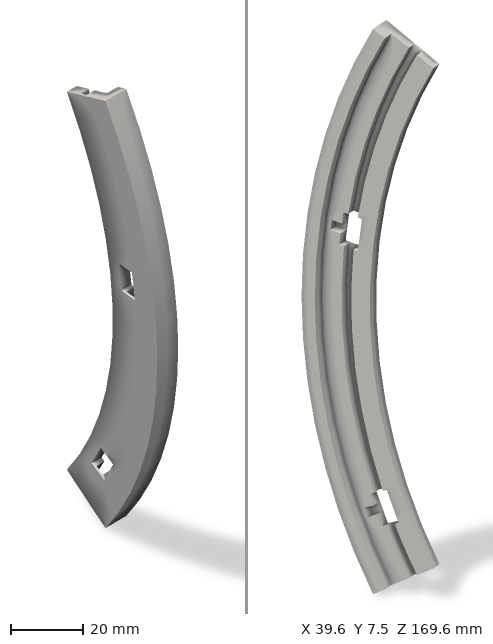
import cadquery as cq
import math

outer_radius = 169.6
strip_width = 19.5
half_angle = 30.0
total_depth = 7.5

plate_thickness = 3.5
rim_width = 4.2

groove_center_radius = 157.5
groove_width = 3.0
groove_floor = 0.7
branch_end_radius = 163.8

window_radial = 6.0
window_length = 10.0
window_angles = (7.5, -22.5)

inner_radius = outer_radius - strip_width
rim_inner_radius = outer_radius - rim_width


def arc_point(radius, angle):
    """Point in the XZ plane at an angle in degrees above the X axis."""
    return (radius * math.cos(math.radians(angle)), radius * math.sin(math.radians(angle)))


def arc_band(small_radius, large_radius, front_y, back_y):
    """Sector of a ring between two radii and two depths."""
    return (
        cq.Workplane("XZ", origin=(0, front_y, 0))
        .moveTo(*arc_point(small_radius, -half_angle))
        .lineTo(*arc_point(large_radius, -half_angle))
        .threePointArc((large_radius, 0), arc_point(large_radius, half_angle))
        .lineTo(*arc_point(small_radius, half_angle))
        .threePointArc((small_radius, 0), arc_point(small_radius, -half_angle))
        .close()
        .extrude(front_y - back_y)
    )


def window(angle):
    """Rectangular cutter through the plate, turned to follow the arc."""
    return (
        cq.Workplane("XY")
        .box(window_radial, plate_thickness, window_length, centered=(True, False, True))
        .translate((groove_center_radius, 0, 0))
        .rotate((0, 0, 0), (0, 1, 0), -angle)
    )


def branch_groove(angle):
    """Radial groove cutter from a window outward, ending short of the rim."""
    return (
        cq.Workplane("XY")
        .box(
            branch_end_radius - groove_center_radius,
            plate_thickness - groove_floor,
            groove_width,
            centered=(False, False, True),
        )
        .translate((groove_center_radius, groove_floor, 0))
        .rotate((0, 0, 0), (0, 1, 0), -angle)
    )


plate = arc_band(inner_radius, outer_radius, 0, plate_thickness)
rim = arc_band(rim_inner_radius, outer_radius, 0, total_depth)
groove = arc_band(
    groove_center_radius - groove_width / 2,
    groove_center_radius + groove_width / 2,
    groove_floor,
    plate_thickness,
)

result = plate.union(rim).cut(groove)
for window_angle in window_angles:
    result = result.cut(window(window_angle)).cut(branch_groove(window_angle))